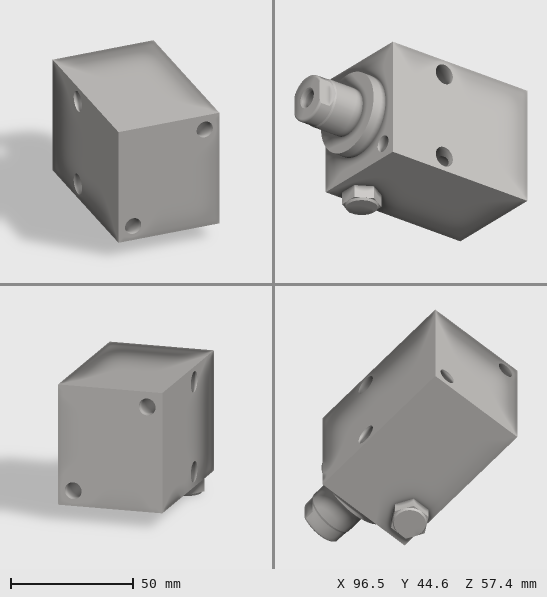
import cadquery as cq
import math

block_height = 50.9
block_depth = 44.6
overall_length = 96.5
rod_reach = 26.9
block_length = overall_length - rod_reach

flange_diameter = 34.9
flange_thickness = 6.2
rod_radius = 10.3
neck_radius = 10.0
neck_length = 6.4
shoulder_end = 7.2
tip_fillet = 1.0

flat_spacing = 16.7
flat_length = 5.0
cutter_clearance = 1.0
bore_radius = 3.4
mouth_radius = 4.4
mouth_chamfer = 0.5
mouth_taper_depth = 1.7
bore_depth = 14.5

hole_offset_z = 19.0
cross_hole_diameter = 8.8
cross_hole_x = 26.6
long_hole_diameter = 7.1
long_hole_offset_y = 15.8

hex_across_flats = 14.0
hex_across_corners = hex_across_flats * 2 / math.sqrt(3)
hex_height = 5.5
plug_height = 6.5
plug_tip_radius = 6.5
plug_x = 12.4
plug_y = block_depth / 2 - hex_across_corners / 2


def make_block():
    block = cq.Workplane("XY").box(block_length, block_depth, block_height)
    return block.translate((block_length / 2, 0, 0))


def make_rod():
    """Flange, rod and stepped neck, revolved about the X axis."""
    flange_radius = flange_diameter / 2
    tip = -rod_reach
    arc_reach = tip_fillet * math.sqrt(0.5)
    arc_middle = (tip + tip_fillet - arc_reach, neck_radius - tip_fillet + arc_reach)
    profile = (
        cq.Workplane("XY")
        .moveTo(tip, 0)
        .lineTo(tip, neck_radius - tip_fillet)
        .threePointArc(arc_middle, (tip + tip_fillet, neck_radius))
        .lineTo(tip + neck_length, neck_radius)
        .lineTo(tip + shoulder_end, rod_radius)
        .lineTo(-flange_thickness, rod_radius)
        .lineTo(-flange_thickness, flange_radius)
        .lineTo(0, flange_radius)
        .lineTo(0, 0)
        .close()
    )
    return profile.revolve(360, (0, 0, 0), (1, 0, 0))


def make_flat_cutter(side):
    """Wedge that cuts one wrench flat and its 45 degree run-out."""
    inner = flat_spacing / 2
    outer = rod_radius + cutter_clearance
    flat_end = -rod_reach + flat_length
    points = [
        (-rod_reach, side * inner),
        (flat_end, side * inner),
        (flat_end + outer - inner, side * outer),
        (-rod_reach, side * outer),
    ]
    return cq.Workplane("XY").polyline(points).close().extrude(rod_radius, both=True)


def make_tip_bore():
    """Blind bore with a chamfer and a steeper taper at its mouth, revolved about the X axis."""
    tip = -rod_reach
    profile = cq.Workplane("XY").polyline([
        (tip, 0),
        (tip, mouth_radius),
        (tip + mouth_chamfer, mouth_radius - mouth_chamfer),
        (tip + mouth_taper_depth, bore_radius),
        (tip + bore_depth, bore_radius),
        (tip + bore_depth, 0),
    ]).close()
    return profile.revolve(360, (0, 0, 0), (1, 0, 0))


def make_plug():
    """Hexagon with corners along Y and a tapered round end."""
    base = cq.Workplane("XY", origin=(plug_x, plug_y, -block_height / 2))
    hexagon = base.transformed(rotate=(0, 0, 90)).polygon(6, hex_across_corners).extrude(-hex_height)
    taper = (
        base.workplane(offset=-hex_height)
        .circle(hex_across_flats / 2)
        .workplane(offset=hex_height - plug_height)
        .circle(plug_tip_radius)
        .loft(combine=False)
    )
    return hexagon.union(taper)


def make_cross_hole(z):
    hole = cq.Workplane("XZ", origin=(cross_hole_x, 0, z))
    return hole.circle(cross_hole_diameter / 2).extrude(block_depth, both=True)


def make_long_hole(y, z):
    hole = cq.Workplane("YZ", origin=(0, y, z))
    return hole.circle(long_hole_diameter / 2).extrude(block_length)


result = make_block().union(make_rod()).union(make_plug())
result = result.cut(make_tip_bore())
for side in (-1, 1):
    result = result.cut(make_flat_cutter(side))
    result = result.cut(make_cross_hole(side * hole_offset_z))
    result = result.cut(make_long_hole(side * long_hole_offset_y, side * hole_offset_z))